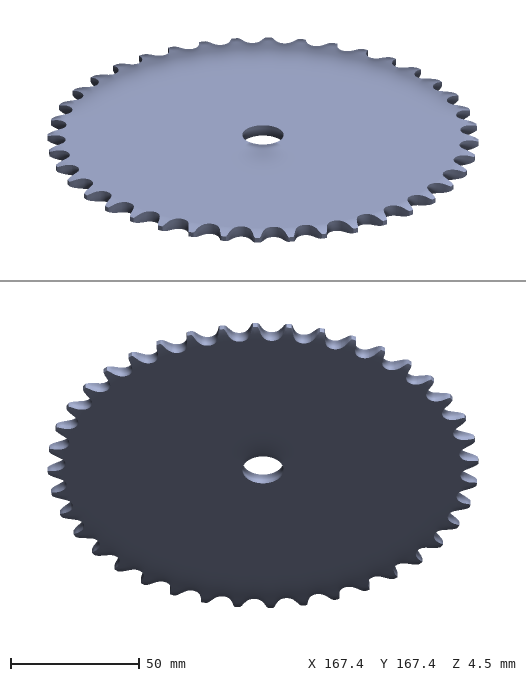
import cadquery as cq
import math

tooth_count = 40
overall_width = 167.4
thickness = 4.5
bore_diameter = 16.0

root_radius = 77.0
seat_radius = 3.9
seat_half_angle = 53.5
flank_radius = 10.0
flank_arc_angle = 16.6
flank_straight = 1.1
topping_radius = 6.4
topping_arc_angle = 30

relief_start_radius = 78.3
relief_radius = 12.7

tooth_pitch_angle = 360 / tooth_count


def arc_point(center, radius, angle):
    """Point on a circle, with the angle in degrees measured from straight down towards +X."""
    return (
        center[0] + radius * math.sin(math.radians(angle)),
        center[1] - radius * math.cos(math.radians(angle)),
    )


def mirrored(point):
    return (-point[0], point[1])


seat_center = (0, root_radius + seat_radius)
seat_end = arc_point(seat_center, seat_radius, seat_half_angle)

flank_end_angle = seat_half_angle + flank_arc_angle
flank_center = arc_point(seat_center, seat_radius - flank_radius, seat_half_angle)
flank_middle = arc_point(flank_center, flank_radius, seat_half_angle + flank_arc_angle / 2)
flank_end = arc_point(flank_center, flank_radius, flank_end_angle)

topping_start = arc_point(flank_end, flank_straight, flank_end_angle + 90)

topping_center = arc_point(topping_start, topping_radius, flank_end_angle)
topping_middle = arc_point(topping_center, -topping_radius, flank_end_angle - topping_arc_angle / 2)
topping_end = arc_point(topping_center, -topping_radius, flank_end_angle - topping_arc_angle)

tip_corner_y = overall_width / 2
tip_corner_x = topping_center[0] - math.sqrt(topping_radius**2 - (tip_corner_y - topping_center[1])**2)
tip_radius = math.hypot(tip_corner_x, tip_corner_y)


def make_blank():
    """Revolved disc whose rim narrows along arcs tangent to the flat faces."""
    half_thickness = thickness / 2
    bore_radius = bore_diameter / 2

    def relief_height(radius):
        run = radius - relief_start_radius
        return half_thickness - relief_radius + math.sqrt(relief_radius**2 - run**2)

    middle_radius = (relief_start_radius + tip_radius) / 2
    middle_height = relief_height(middle_radius)
    tip_height = relief_height(tip_radius)
    return (
        cq.Workplane("XZ")
        .moveTo(bore_radius, -half_thickness)
        .lineTo(relief_start_radius, -half_thickness)
        .threePointArc((middle_radius, -middle_height), (tip_radius, -tip_height))
        .lineTo(tip_radius, tip_height)
        .threePointArc((middle_radius, middle_height), (relief_start_radius, half_thickness))
        .lineTo(bore_radius, half_thickness)
        .close()
        .revolve(360, (0, 0, 0), (0, 1, 0))
    )


def make_gap_cutter():
    """Prism of one tooth gap, taller than the sprocket and open past the tooth tips."""
    return (
        cq.Workplane("XY")
        .moveTo(*mirrored(topping_end))
        .threePointArc(mirrored(topping_middle), mirrored(topping_start))
        .lineTo(*mirrored(flank_end))
        .threePointArc(mirrored(flank_middle), mirrored(seat_end))
        .threePointArc((0, root_radius), seat_end)
        .threePointArc(flank_middle, flank_end)
        .lineTo(*topping_start)
        .threePointArc(topping_middle, topping_end)
        .close()
        .extrude(thickness, both=True)
    )


gap_cutter = make_gap_cutter()
result = make_blank()
for gap in range(tooth_count):
    result = result.cut(gap_cutter.rotate((0, 0, 0), (0, 0, 1), gap * tooth_pitch_angle))